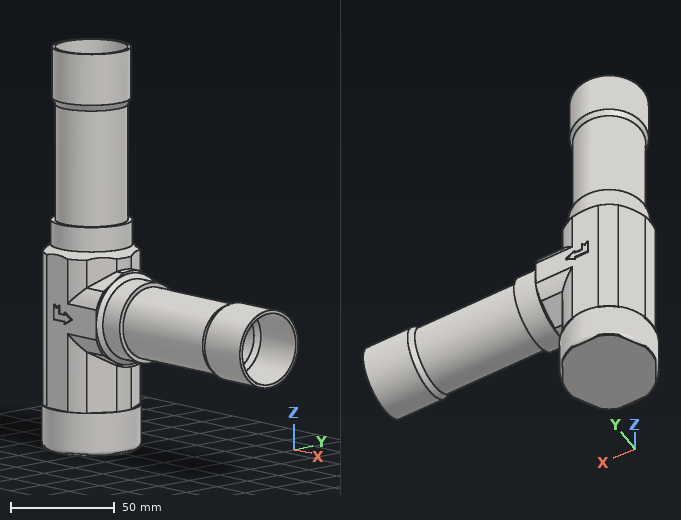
import cadquery as cq

across_flats = 45.0
corner_diameter = 47.3
hexagon_corner_factor = 2 / 3**0.5
body_shoulder_z = 96.5

cap_diameter = 48.0
cap_height = 21.3
cap_edge_radius = 2.4

collar_diameter = 39.5
collar_length = 12.0
tube_diameter = 35.3
tube_bore = 32.0
socket_diameter = 38.2
socket_bore = 35.0
socket_length = 25.0
flare_length = 3.2

total_height = 197.0
collar_start_z = 99.9

overall_width = 151.0
branch_axis_z = 67.2
branch_end_x = overall_width - cap_diameter / 2
branch_shoulder_x = 28.0
branch_collar_start_x = 29.7

arrow_thickness = 0.5
arrow_stem_width = 3.3
arrow_bottom_z = -arrow_stem_width / 2
arrow_left_x = -arrow_stem_width / 2
arrow_tail_z = 5.7
arrow_notch_depth = 1.5
arrow_head_x = 5.7
arrow_head_overhang = 1.2
arrow_tip_x = 10.6


def cylinder(diameter, start, end):
    return cq.Workplane("XY").workplane(offset=start).circle(diameter / 2).extrude(end - start)


def cone(start_diameter, end_diameter, start, end):
    profile = [(0, start), (start_diameter / 2, start), (end_diameter / 2, end), (0, end)]
    return cq.Workplane("XZ").polyline(profile).close().revolve(360, (0, 0), (0, 1))


def rounded_hexagon(length):
    """Hexagonal bar with flats facing +Y and -Y and rounded corners."""
    hexagon = cq.Workplane("XY").polygon(6, across_flats * hexagon_corner_factor).extrude(length)
    return hexagon.intersect(cylinder(corner_diameter, 0, length))


def tube_end(collar_start, end):
    """Solid collar followed by a blind-bored tube with an expanded socket."""
    collar_end = collar_start + collar_length
    socket_start = end - socket_length
    flare_start = socket_start - flare_length
    outside = (
        cylinder(collar_diameter, collar_start, collar_end)
        .union(cylinder(tube_diameter, collar_end, flare_start))
        .union(cone(tube_diameter, socket_diameter, flare_start, socket_start))
        .union(cylinder(socket_diameter, socket_start, end))
    )
    bore = (
        cylinder(tube_bore, collar_end, flare_start)
        .union(cone(tube_bore, socket_bore, flare_start, socket_start))
        .union(cylinder(socket_bore, socket_start, end))
    )
    return outside.cut(bore)


def end_cap():
    return cylinder(cap_diameter, 0, cap_height).faces("<Z").edges().fillet(cap_edge_radius)


def main_run():
    shoulder_slope = (corner_diameter - collar_diameter) / (collar_start_z - body_shoulder_z)
    base_diameter = collar_diameter + shoulder_slope * collar_start_z
    body = rounded_hexagon(collar_start_z)
    body = body.intersect(cone(base_diameter, collar_diameter, 0, collar_start_z))
    return body.union(end_cap()).union(tube_end(collar_start_z, total_height))


def branch():
    shoulder = cone(across_flats, collar_diameter, branch_shoulder_x, branch_collar_start_x)
    upright = (
        rounded_hexagon(branch_shoulder_x)
        .union(shoulder)
        .union(tube_end(branch_collar_start_x, branch_end_x))
    )
    return upright.rotate((0, 0, 0), (0, 1, 0), 90).translate((0, 0, branch_axis_z))


def flow_arrows():
    """Bent arrow running through the body so that it stands proud of both flats."""
    stem_right_x = arrow_left_x + arrow_stem_width
    stem_top_z = arrow_bottom_z + arrow_stem_width
    depth = across_flats + 2 * arrow_thickness
    outline = [
        (arrow_left_x, arrow_bottom_z),
        (arrow_left_x, arrow_tail_z),
        (arrow_left_x + arrow_stem_width / 2, arrow_tail_z - arrow_notch_depth),
        (stem_right_x, arrow_tail_z),
        (stem_right_x, stem_top_z),
        (arrow_head_x, stem_top_z),
        (arrow_head_x, stem_top_z + arrow_head_overhang),
        (arrow_tip_x, arrow_bottom_z + arrow_stem_width / 2),
        (arrow_head_x, arrow_bottom_z - arrow_head_overhang),
        (arrow_head_x, arrow_bottom_z),
    ]
    plate = cq.Workplane("XZ").polyline(outline).close().extrude(depth / 2, both=True)
    return plate.translate((0, 0, branch_axis_z))


result = main_run().union(branch()).union(flow_arrows())